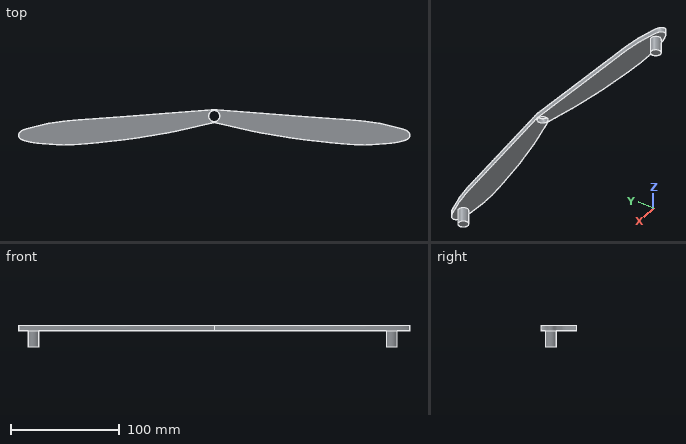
import cadquery as cq

SPAN = 359.4
TIP_X = SPAN / 2
TOTAL_HEIGHT = 20.0
PLATE_THICKNESS = 5.0
PIN_LENGTH = TOTAL_HEIGHT - PLATE_THICKNESS

HUB_RADIUS = 6.0
HOLE_DIAMETER = 10.0

PIN_DIAMETER = 10.0
LEFT_PIN_X = -166.0
RIGHT_PIN_X = 163.0
PIN_Y = -17.5

DEPTH = 32.61
LOWEST_Y = HUB_RADIUS - DEPTH
LOWEST_X = 138.0

LEADING_ROOT = (0.0, HUB_RADIUS)
LEADING_EDGE = [(45.0, 2.55), (90.0, -0.9), (126.0, -3.5), (152.0, -6.6), (169.0, -10.7)]
BLADE_TIP = (TIP_X, -17.9)
TIP_DIRECTION = (0.0, -1.0)
TRAILING_EDGE = [
    (173.5, -22.9),
    (160.0, -25.3),
    (LOWEST_X, LOWEST_Y),
    (110.0, -24.9),
    (82.0, -21.8),
    (44.0, -15.8),
]
TRAILING_ROOT = (0.0, -HUB_RADIUS)


def blade():
    """Right-hand blade, a flat plate on top of the pins."""
    outline = [LEADING_ROOT] + LEADING_EDGE + [BLADE_TIP] + TRAILING_EDGE + [TRAILING_ROOT]
    tangents = [TIP_DIRECTION if point == BLADE_TIP else None for point in outline]
    return (
        cq.Workplane("XY", origin=(0, 0, PIN_LENGTH))
        .spline(outline, tangents=tangents)
        .close()
        .extrude(PLATE_THICKNESS)
    )


def hub():
    """Round boss of plate thickness around the centre hole."""
    return (
        cq.Workplane("XY", origin=(0, 0, PIN_LENGTH))
        .circle(HUB_RADIUS)
        .extrude(PLATE_THICKNESS)
    )


def pins():
    """Round pin under each blade tip, from Z = 0 up to the plate."""
    return (
        cq.Workplane("XY")
        .pushPoints([(LEFT_PIN_X, PIN_Y), (RIGHT_PIN_X, PIN_Y)])
        .circle(PIN_DIAMETER / 2)
        .extrude(PIN_LENGTH)
    )


def centre_hole():
    """Cutter for the hole through the hub."""
    return (
        cq.Workplane("XY", origin=(0, 0, PIN_LENGTH))
        .circle(HOLE_DIAMETER / 2)
        .extrude(PLATE_THICKNESS)
    )


right_blade = blade()
left_blade = right_blade.mirror("YZ")
plate = right_blade.union(left_blade).union(hub()).cut(centre_hole())
result = plate.union(pins())